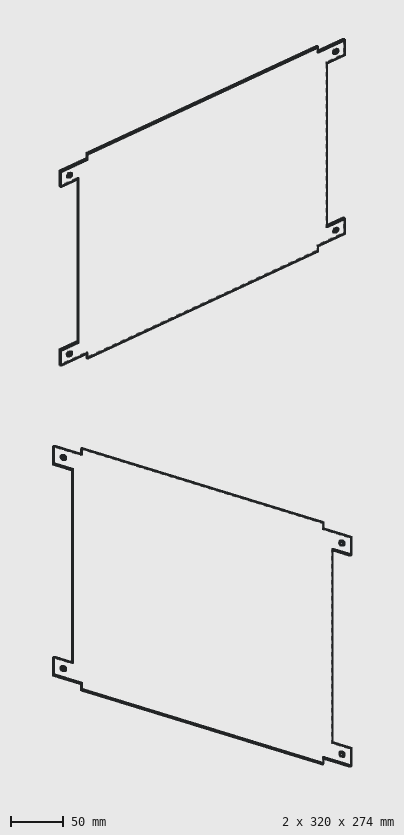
import cadquery as cq

thickness = 2.0
overall_width = 320.0
overall_height = 274.0
body_width = 280.0
corner_notch = 10.0
hole_spacing_z = 240.0
hole_diameter = 5.5

tab_size = (overall_width - body_width) / 2
hole_spacing_y = overall_width - tab_size
tab_band_height = hole_spacing_z + tab_size
edge_width = body_width - 2 * corner_notch


def sheet(width, height):
    """Centred rectangular sheet, width along Y and height along Z."""
    return cq.Workplane("XY").box(thickness, width, height)


def tab_row(z):
    """Strip across the body whose two ends form a pair of tabs."""
    return sheet(overall_width, tab_size).translate((0, 0, z))


body = sheet(body_width, tab_band_height).union(sheet(edge_width, overall_height))

for side in (-1, 1):
    body = body.union(tab_row(side * hole_spacing_z / 2))

holes = (
    cq.Workplane("YZ")
    .rarray(hole_spacing_y, hole_spacing_z, 2, 2)
    .circle(hole_diameter / 2)
    .extrude(thickness, both=True)
)

result = body.cut(holes).clean()